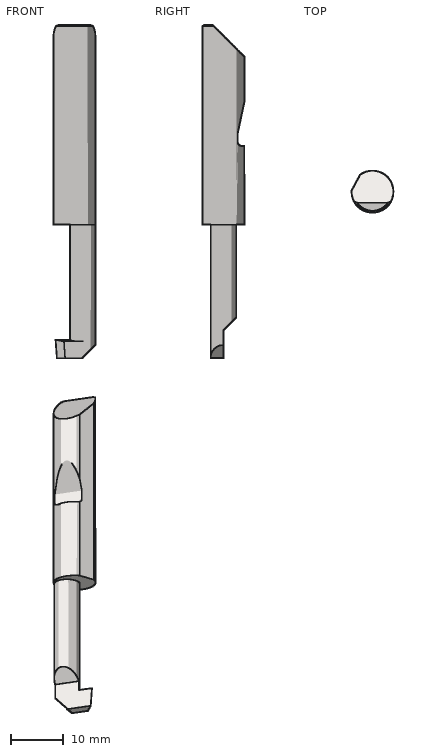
import cadquery as cq

total_length = 63.5
shank_radius = 4.0
shank_base = 25.45
margin = 0.65

rim_chamfer_width = 0.4
rim_chamfer_height = 0.25
bevel_start_y = -2.1
flat_distance = 3.6
flat_normal_angle = 152.0
notch_floor_y = 2.7
notch_base = 40.45
notch_ramp_start = 42.85
notch_top = 48.9
notch_corner_radius = 0.75

neck_radius = 2.445
neck_x = shank_radius - neck_radius
relief_base = 5.35
tip_chamfer_base = 0.1

head_tip_x = -3.6
head_front_x = -2.05
head_height = 3.55
head_top_drop = 0.3
head_side_taper = 0.25


def make_shank():
    """Round bar with a chamfered top rim."""
    return (
        cq.Workplane("XZ")
        .moveTo(0, shank_base)
        .lineTo(shank_radius, shank_base)
        .lineTo(shank_radius, total_length - rim_chamfer_height)
        .lineTo(shank_radius - rim_chamfer_width, total_length)
        .lineTo(0, total_length)
        .close()
        .revolve(360, (0, 0), (0, 1))
    )


def make_top_bevel():
    """Wedge above the 45 degree plane that falls towards +Y."""
    far_y = shank_radius + margin
    drop = far_y - bevel_start_y
    return (
        cq.Workplane("YZ")
        .moveTo(bevel_start_y - margin, total_length + margin)
        .lineTo(far_y, total_length + margin)
        .lineTo(far_y, total_length - drop)
        .close()
        .extrude(shank_radius + margin, both=True)
    )


def make_side_flat():
    """Block outside the flat that runs along the whole shank."""
    thickness = shank_radius
    height = total_length - shank_base
    return (
        cq.Workplane("XY")
        .box(thickness, 2 * shank_radius, height, centered=(False, True, False))
        .translate((flat_distance, 0, shank_base))
        .rotate((0, 0, 0), (0, 0, 1), flat_normal_angle)
    )


def make_back_notch():
    """Clamping notch on the +Y side with a rounded lower corner and a ramp."""
    far_y = shank_radius + margin
    return (
        cq.Workplane("YZ")
        .moveTo(far_y, notch_base)
        .lineTo(notch_floor_y + notch_corner_radius, notch_base)
        .radiusArc((notch_floor_y, notch_base + notch_corner_radius), notch_corner_radius)
        .lineTo(notch_floor_y, notch_ramp_start)
        .lineTo(shank_radius, notch_top)
        .lineTo(far_y, notch_top)
        .close()
        .extrude(shank_radius + margin, both=True)
    )


def make_neck():
    """Slim round neck, relieved to its -Y half near the tip and chamfered at +X."""
    neck = cq.Workplane("XY").center(neck_x, 0).circle(neck_radius).extrude(shank_base)
    far_y = neck_radius + margin
    relief = (
        cq.Workplane("YZ")
        .moveTo(0, -margin)
        .lineTo(far_y, -margin)
        .lineTo(far_y, relief_base + far_y)
        .lineTo(0, relief_base)
        .close()
        .extrude(2 * shank_radius, both=True)
    )
    far_x = shank_radius + margin
    tip_chamfer = (
        cq.Workplane("XZ")
        .moveTo(neck_x, -margin)
        .lineTo(far_x, -margin)
        .lineTo(far_x, tip_chamfer_base + far_x - neck_x)
        .lineTo(neck_x, tip_chamfer_base)
        .close()
        .extrude(neck_radius + margin, both=True)
    )
    return neck.cut(relief).cut(tip_chamfer)


def make_head():
    """Cutting head with a slanted end face, tapered end and falling top."""

    def outline(plane, end_shift):
        return plane.polyline(
            [
                (neck_x, 0),
                (head_tip_x + end_shift, 0),
                (head_front_x + end_shift, -neck_radius),
                (neck_x, -neck_radius),
            ]
        ).close()

    base = outline(cq.Workplane("XY"), head_side_taper)
    head = outline(base.workplane(offset=head_height), 0).loft(ruled=True)
    top_slope = (
        cq.Workplane("YZ")
        .moveTo(0, head_height)
        .lineTo(-neck_radius, head_height - head_top_drop)
        .lineTo(-neck_radius, head_height)
        .close()
        .extrude(2 * shank_radius, both=True)
    )
    return head.cut(top_slope)


shank = make_shank().cut(make_top_bevel()).cut(make_side_flat()).cut(make_back_notch())
result = shank.union(make_neck()).union(make_head())